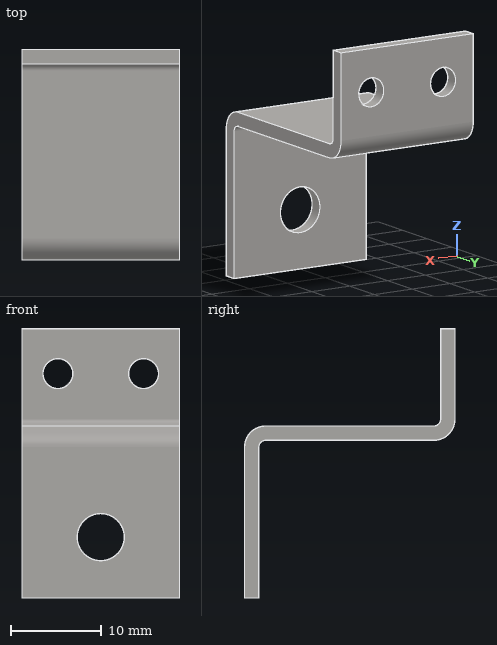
import cadquery as cq

width = 17.5
depth = 23.33
height = 29.85

thickness = 1.6
inner_radius = 0.75
outer_radius = inner_radius + thickness
web_top_drop = 10.77

upper_hole_diameter = 3.28
upper_hole_spacing = 9.5
upper_hole_drop = 4.98
lower_hole_diameter = 5.2
lower_hole_rise = 6.75

web_top = height - web_top_drop
web_bottom = web_top - thickness
upper_flange_front = depth - thickness


def sharp_profile():
    """Z-shaped section in the YZ plane, before the bends are rounded."""
    return (
        cq.Workplane("YZ")
        .moveTo(0, 0)
        .lineTo(thickness, 0)
        .lineTo(thickness, web_bottom)
        .lineTo(depth, web_bottom)
        .lineTo(depth, height)
        .lineTo(upper_flange_front, height)
        .lineTo(upper_flange_front, web_top)
        .lineTo(0, web_top)
        .close()
    )


def round_corner(body, y, z, radius):
    """Fillet the X-direction edge passing through (y, z)."""
    return body.edges(cq.selectors.NearestToPointSelector((0, y, z))).fillet(radius)


def hole_cutter(x, z, diameter):
    """Cylinder along Y that passes through the whole depth."""
    return cq.Workplane("XZ").center(x, z).circle(diameter / 2).extrude(-depth)


bracket = sharp_profile().extrude(width / 2, both=True)

bracket = round_corner(bracket, 0, web_top, outer_radius)
bracket = round_corner(bracket, thickness, web_bottom, inner_radius)
bracket = round_corner(bracket, depth, web_bottom, outer_radius)
bracket = round_corner(bracket, upper_flange_front, web_top, inner_radius)

for side in (-1, 1):
    hole_x = side * upper_hole_spacing / 2
    bracket = bracket.cut(hole_cutter(hole_x, height - upper_hole_drop, upper_hole_diameter))

bracket = bracket.cut(hole_cutter(0, lower_hole_rise, lower_hole_diameter))

result = bracket